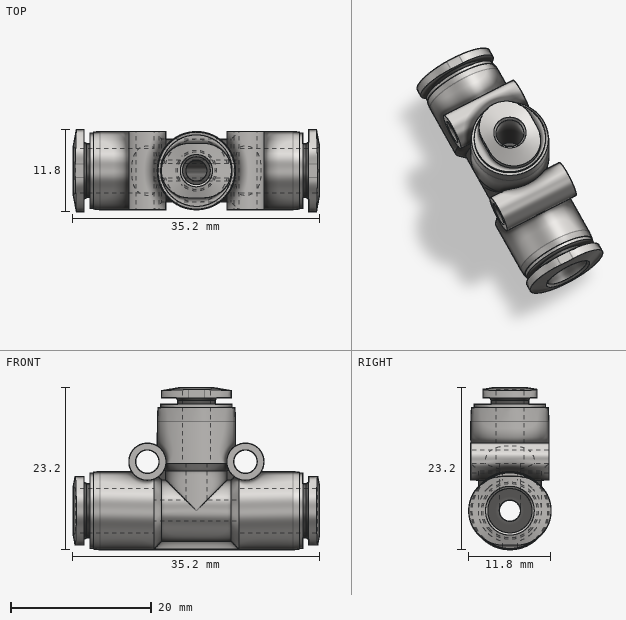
import cadquery as cq

run_length = 35.2
branch_height = 17.6

body_radius = 11.2 / 2
waist_radius = 9.0 / 2
shoulder_depth = body_radius - waist_radius
run_waist_end = 4.95
branch_waist_end = 5.65
rim_end = 15.2
rim_length = 0.5
run_rim_radius = 10.8 / 2
branch_rim_radius = 10.2 / 2
run_taper_length = 0.95
branch_taper_length = 2.0
taper_drop = 0.1
through_bore_radius = 3.0 / 2

web_thickness = 2.1

tube_radius = 5.3 / 2
tube_hole_radius = 3.3 / 2
tube_offset = 7.0
tube_length = 2 * body_radius

flare_height = 0.2
flare_length = 0.35
bore_chamfer = 0.3

run_neck_radius = 7.75 / 2
run_bore_radius = 6.35 / 2
run_flange_start = 16.0
run_flange_length = 11.8
run_flange_width = 9.82
run_face_drop = 0.45

branch_neck_radius = 5.4 / 2
branch_bore_radius = 3.98 / 2
branch_flange_start = 16.12
branch_flange_length = 10.0
branch_flange_width = 7.75
branch_face_drop = 0.45


def revolve_profile(profile):
    """Revolve a closed (radius, height) profile about Z."""
    return profile.close().revolve(360, (0, 0, 0), (0, 1, 0))


def make_arm(waist_end, taper_length, rim_radius):
    """Waist, shoulder, rounded taper and stepped rim, rising from the origin along Z."""
    taper_end = rim_end - rim_length
    return revolve_profile(
        cq.Workplane("XZ")
        .lineTo(waist_radius, 0)
        .lineTo(waist_radius, waist_end)
        .lineTo(body_radius, waist_end + shoulder_depth)
        .lineTo(body_radius, taper_end - taper_length)
        .threePointArc(
            (body_radius - taper_drop / 4, taper_end - taper_length / 2),
            (body_radius - taper_drop, taper_end),
        )
        .lineTo(rim_radius, taper_end)
        .lineTo(rim_radius, rim_end)
        .lineTo(0, rim_end)
    )


def make_collar(neck_radius, bore_radius, flange_start, flange_length, flange_width, face_drop, end):
    """Release collar along Z: flared neck and an obround flange with a conical face."""
    flange_radius = flange_length / 2
    flare_radius = neck_radius + flare_height
    collar = revolve_profile(
        cq.Workplane("XZ")
        .moveTo(0, rim_end)
        .lineTo(neck_radius, rim_end)
        .lineTo(neck_radius, flange_start - flare_length)
        .lineTo(flare_radius, flange_start)
        .lineTo(flange_radius, flange_start)
        .lineTo(flange_radius, end - face_drop)
        .lineTo(bore_radius + bore_chamfer, end)
        .lineTo(0, end)
    )
    obround = (
        cq.Workplane("XY")
        .workplane(offset=rim_end)
        .slot2D(flange_length, flange_width)
        .extrude(end - rim_end)
    )
    return collar.intersect(obround)


def make_bore(bore_radius, bottom, end):
    """Tube socket along Z with a chamfered mouth, and the passage down to the origin."""
    return revolve_profile(
        cq.Workplane("XZ")
        .lineTo(through_bore_radius, 0)
        .lineTo(through_bore_radius, bottom)
        .lineTo(bore_radius, bottom)
        .lineTo(bore_radius, end - bore_chamfer)
        .lineTo(bore_radius + bore_chamfer, end)
        .lineTo(0, end)
    )


def along_run(shape, side):
    """Turn a shape built along Z onto +X (side 1) or -X (side -1), keeping its wide axis along Y."""
    return shape.rotate((0, 0, 0), (0, 0, 1), 90).rotate((0, 0, 0), (0, 1, 0), side * 90)


def make_tube(radius, side):
    """Cylinder parallel to Y at one mounting-tube position."""
    return (
        cq.Workplane("XZ", origin=(0, -tube_length / 2, 0))
        .center(side * tube_offset, tube_offset)
        .circle(radius)
        .extrude(-tube_length)
    )


run_arm = make_arm(run_waist_end, run_taper_length, run_rim_radius)
run_collar = make_collar(
    run_neck_radius, run_bore_radius, run_flange_start,
    run_flange_length, run_flange_width, run_face_drop, run_length / 2,
)
run_bore = make_bore(run_bore_radius, run_waist_end + shoulder_depth, run_length / 2)

branch_arm = make_arm(branch_waist_end, branch_taper_length, branch_rim_radius)
branch_collar = make_collar(
    branch_neck_radius, branch_bore_radius, branch_flange_start,
    branch_flange_length, branch_flange_width, branch_face_drop, branch_height,
)
branch_bore = make_bore(branch_bore_radius, branch_waist_end + shoulder_depth, branch_height)

result = along_run(run_arm, 1).union(along_run(run_arm, -1)).union(branch_arm).union(branch_collar)

web = cq.Workplane("XY").box(
    2 * tube_offset, web_thickness, body_radius + tube_offset
).translate((0, 0, (tube_offset - body_radius) / 2))
web_limit = cq.Workplane("YZ").circle(body_radius).extrude(tube_offset, both=True)
upper_space = cq.Workplane("XY").box(
    2 * tube_offset, web_thickness, tube_offset, centered=(True, True, False)
)
result = result.union(web.intersect(web_limit.union(upper_space)))

for side in (-1, 1):
    result = result.union(along_run(run_collar, side)).union(make_tube(tube_radius, side))

result = result.cut(branch_bore)
for side in (-1, 1):
    result = result.cut(along_run(run_bore, side)).cut(make_tube(tube_hole_radius, side))